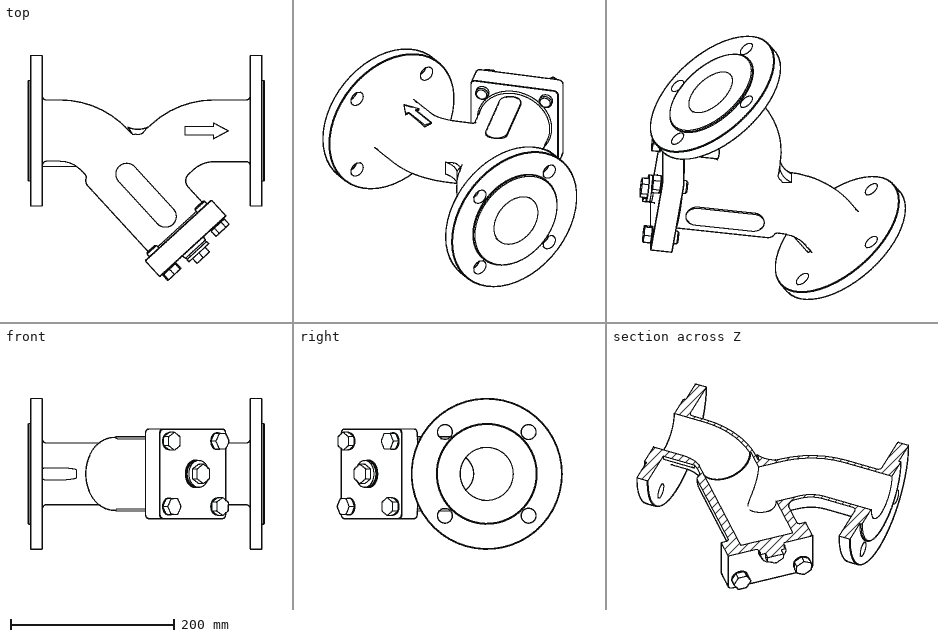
import cadquery as cq
import math


FACE_TO_FACE = 290.0
PIPE_DIAMETER = 76.0
BORE_DIAMETER = 65.0
BEND_RADIUS = 75.0
INLET_BEND_X = -105.5
OUTLET_BEND_X = 83.0

FLANGE_DIAMETER = 185.0
FLANGE_THICKNESS = 15.0
FLANGE_EDGE_CHAMFER = 1.0
RAISED_FACE_DIAMETER = 123.5
RAISED_FACE_HEIGHT = 3.0
RAISED_FACE_CHAMFER = 1.2
FLANGE_NECK_FILLET = 4.4
FLANGE_HOLE_DIAMETER = 18.0
FLANGE_HOLE_CIRCLE = 145.0
FLANGE_HOLE_COUNT = 4

HOUSING_ANGLE = 47.5
HOUSING_DIAMETER = 90.0
HOUSING_START = 40.5
HOUSING_START_FILLET = 9.5
HOUSING_NECK_FILLET = 4.4
BRANCH_FILLET = 11.0
CAVITY_START = 24.6
CAVITY_DIAMETER = 67.3

COVER_SIDE = 110.2
COVER_CORNER_RADIUS = 5.8
HOUSING_FLANGE_START = 165.3
COVER_START = 178.0
COVER_END = 192.0
COVER_EDGE_CHAMFER = 0.5
HOUSING_FLANGE_CHAMFER = 0.5
HOUSING_END_RING = 2.0

BOLT_OFFSET = 40.0
BOLT_DIAMETER = 16.0
BOLT_TIP_LENGTH = 5.8
BOLT_TIP_CHAMFER = 1.5
BOLT_COLLAR_DIAMETER = 21.0
BOLT_COLLAR_HEIGHT = 1.2
BOLT_HEAD_FLATS = 19.0
BOLT_HEAD_HEIGHT = 9.0
HEAD_CORNER_CHAMFER = 0.44

PLUG_BOSS_DIAMETER = 34.0
PLUG_BOSS_HEIGHT = 4.5
PLUG_BOSS_FILLET = 2.0
PLUG_GASKET_DIAMETER = 32.0
PLUG_GASKET_HEIGHT = 2.3
PLUG_COLLAR_DIAMETER = 33.0
PLUG_COLLAR_HEIGHT = 3.8
PLUG_HEAD_FLATS = 21.0
PLUG_HEAD_HEIGHT = 8.0

PLATE_START = 58.5
PLATE_END = 155.5
PLATE_WIDTH = 26.7
PLATE_LEVEL = 45.5

ARROW_TAIL_X = 47.3
ARROW_NECK_X = 82.5
ARROW_TIP_X = 100.5
ARROW_SHAFT_WIDTH = 10.2
ARROW_HEAD_WIDTH = 19.5
ARROW_LEVEL = 39.0

RIB_END_X = -81.8
RIB_BOTTOM_Y = -43.8
RIB_BASE_WIDTH = 15.7
RIB_CREST_WIDTH = 10.5
RIB_BASE_Y = -36.2
RIB_CREST_FILLET = 2.3

WEB_INLET_POINT = (-22.5, 4.5)
WEB_LOW_POINT = (-12.2, 2.0)
WEB_OUTLET_POINT = (2.0, 4.5)
WEB_ROOT_POINT = (-12.2, -11.5)
WEB_WIDTH = 17.5

angle = math.radians(HOUSING_ANGLE)
face_x = FACE_TO_FACE / 2
flange_back_x = face_x - RAISED_FACE_HEIGHT - FLANGE_THICKNESS
axis_start_x = INLET_BEND_X + BEND_RADIUS * math.tan(angle / 2)
axis_direction = cq.Vector(math.cos(angle), -math.sin(angle), 0)
across_direction = cq.Vector(math.sin(angle), math.cos(angle), 0)

NEAR_END = cq.selectors.DirectionMinMaxSelector(axis_direction, False)
FAR_END = cq.selectors.DirectionMinMaxSelector(axis_direction, True)
ALONG_AXIS = cq.selectors.ParallelDirSelector(axis_direction)


def axis_point(distance):
    return cq.Vector(axis_start_x, 0, 0) + axis_direction * distance


def housing_plane(distance):
    """Workplane square to the housing axis; its X runs across the housing and its Y is global Z."""
    return cq.Workplane(cq.Plane(axis_point(distance), across_direction, axis_direction))


def housing_cylinder(diameter, start, end):
    return housing_plane(start).circle(diameter / 2).extrude(end - start)


def elbow_path(start_x, bend_x, turn, tail):
    """Centreline: straight from start_x, an arc bending towards -Y, then a straight tail."""
    side = 1 if bend_x > start_x else -1

    def on_arc(a):
        return (bend_x + side * BEND_RADIUS * math.sin(a), BEND_RADIUS * (math.cos(a) - 1))

    end_x, end_y = on_arc(turn)
    tail_point = (end_x + side * tail * math.cos(turn), end_y - tail * math.sin(turn))
    return (
        cq.Workplane("XY")
        .moveTo(start_x, 0)
        .lineTo(bend_x, 0)
        .threePointArc(on_arc(turn / 2), (end_x, end_y))
        .lineTo(*tail_point)
    )


def elbow(start_x, diameter, bend_x, turn, tail):
    path = elbow_path(start_x, bend_x, turn, tail)
    return cq.Workplane("YZ", origin=(start_x, 0, 0)).circle(diameter / 2).sweep(path)


inlet_tail = HOUSING_START + HOUSING_START_FILLET - BEND_RADIUS * math.tan(angle / 2)
outlet_turn = math.pi / 2 - angle
outlet_seam = cq.Vector(
    OUTLET_BEND_X - BEND_RADIUS * math.sin(outlet_turn),
    BEND_RADIUS * (math.cos(outlet_turn) - 1),
    0,
)
outlet_tail = (outlet_seam - cq.Vector(axis_start_x, 0, 0)).dot(across_direction)


def pipe_run(diameter):
    inlet = elbow(-face_x, diameter, INLET_BEND_X, angle, inlet_tail)
    outlet = elbow(face_x, diameter, OUTLET_BEND_X, outlet_turn, outlet_tail)
    return inlet, outlet


def end_flange():
    """Flange at the -X end, with its sealing face, bolt holes and rounded neck."""
    outer_x = RAISED_FACE_HEIGHT - face_x
    plate = cq.Workplane("YZ", origin=(outer_x, 0, 0)).circle(FLANGE_DIAMETER / 2)
    plate = plate.extrude(FLANGE_THICKNESS).edges().chamfer(FLANGE_EDGE_CHAMFER)
    seal = cq.Workplane("YZ", origin=(-face_x, 0, 0)).circle(RAISED_FACE_DIAMETER / 2)
    seal = seal.extrude(RAISED_FACE_HEIGHT).faces("<X").edges().chamfer(RAISED_FACE_CHAMFER)
    neck_radius = PIPE_DIAMETER / 2
    neck = (
        cq.Workplane("XY", origin=(-flange_back_x, 0, 0))
        .lineTo(0, neck_radius + FLANGE_NECK_FILLET)
        .radiusArc((FLANGE_NECK_FILLET, neck_radius), -FLANGE_NECK_FILLET)
        .lineTo(FLANGE_NECK_FILLET, 0)
        .close()
        .revolve(360, (0, 0, 0), (1, 0, 0))
    )
    holes = (
        cq.Workplane("YZ", origin=(-face_x, 0, 0))
        .polarArray(FLANGE_HOLE_CIRCLE / 2, 180 / FLANGE_HOLE_COUNT, 360, FLANGE_HOLE_COUNT)
        .circle(FLANGE_HOLE_DIAMETER / 2)
        .extrude(RAISED_FACE_HEIGHT + FLANGE_THICKNESS)
    )
    return plate.union(seal).union(neck).cut(holes)


def body_shell():
    """Solid elbows and housing with their blended joints."""
    inlet, outlet = pipe_run(PIPE_DIAMETER)
    housing = housing_cylinder(HOUSING_DIAMETER, HOUSING_START, COVER_START)
    housing = housing.faces(NEAR_END).edges().fillet(HOUSING_START_FILLET)
    shell = inlet.union(housing)
    neck_seam = cq.selectors.NearestToPointSelector(axis_point(HOUSING_START).toTuple())
    shell = shell.edges(neck_seam).fillet(HOUSING_NECK_FILLET)
    shell = shell.union(outlet)
    branch_seam = shell.edges("%BSPLINE")
    return branch_seam.fillet(BRANCH_FILLET)


def crotch_web():
    """Web with a hollow upper edge, centred on the mid plane."""
    return (
        cq.Workplane("XY", origin=(0, 0, -WEB_WIDTH / 2))
        .moveTo(*WEB_INLET_POINT)
        .threePointArc(WEB_LOW_POINT, WEB_OUTLET_POINT)
        .lineTo(*WEB_ROOT_POINT)
        .close()
        .extrude(WEB_WIDTH)
    )


def square_plate(start, end):
    plate = housing_plane(start).rect(COVER_SIDE, COVER_SIDE).extrude(end - start)
    return plate.edges(ALONG_AXIS).fillet(COVER_CORNER_RADIUS)


def housing_flange():
    """Square flange with a small sloped ring where the housing runs into it."""
    flange = square_plate(HOUSING_FLANGE_START, COVER_START)
    flange = flange.faces(NEAR_END).edges().chamfer(HOUSING_FLANGE_CHAMFER)
    ring = (
        housing_plane(HOUSING_FLANGE_START)
        .circle(HOUSING_DIAMETER / 2 + HOUSING_END_RING)
        .workplane(offset=-HOUSING_END_RING)
        .circle(HOUSING_DIAMETER / 2)
        .loft()
    )
    return flange.union(ring)


def bolt_positions():
    return [(across, up) for across in (-BOLT_OFFSET, BOLT_OFFSET) for up in (-BOLT_OFFSET, BOLT_OFFSET)]


def bolt_tip(position):
    """Bolt end standing out behind the square flange."""
    tip = housing_plane(HOUSING_FLANGE_START - BOLT_TIP_LENGTH).center(*position)
    tip = tip.circle(BOLT_DIAMETER / 2).extrude(BOLT_TIP_LENGTH)
    return tip.faces(NEAR_END).edges().chamfer(BOLT_TIP_CHAMFER)


def hex_head(start, height, flats, turn, position=(0, 0)):
    """Hexagon whose outer corners are turned off at its free end."""
    corners = flats / math.cos(math.pi / 6)
    base = housing_plane(start).center(*position)
    hexagon = base.transformed(rotate=(0, 0, turn)).polygon(6, corners).extrude(height)
    turned = base.circle(corners / 2).extrude(height)
    turned = turned.faces(FAR_END).edges().chamfer(HEAD_CORNER_CHAMFER)
    return hexagon.intersect(turned)


def bolt_head(position):
    collar = housing_plane(COVER_END).center(*position).circle(BOLT_COLLAR_DIAMETER / 2)
    collar = collar.extrude(BOLT_COLLAR_HEIGHT)
    across, up = position
    turn = 0 if across * up > 0 else 90
    head_start = COVER_END + BOLT_COLLAR_HEIGHT
    return collar.union(hex_head(head_start, BOLT_HEAD_HEIGHT, BOLT_HEAD_FLATS, turn, position))


def drain_plug():
    boss_end = COVER_END + PLUG_BOSS_HEIGHT
    gasket_end = boss_end + PLUG_GASKET_HEIGHT
    collar_end = gasket_end + PLUG_COLLAR_HEIGHT
    plug = housing_cylinder(PLUG_GASKET_DIAMETER, boss_end, gasket_end)
    plug = plug.union(housing_cylinder(PLUG_COLLAR_DIAMETER, gasket_end, collar_end))
    return plug.union(hex_head(collar_end, PLUG_HEAD_HEIGHT, PLUG_HEAD_FLATS, 90))


def cover():
    """Square cover with the blended plug boss, the plug and the bolt heads."""
    plate = square_plate(COVER_START, COVER_END).faces(FAR_END).edges().chamfer(COVER_EDGE_CHAMFER)
    boss_end = COVER_END + PLUG_BOSS_HEIGHT
    plate = plate.union(housing_cylinder(PLUG_BOSS_DIAMETER, COVER_END, boss_end))
    boss_foot = cq.selectors.NearestToPointSelector(axis_point(COVER_END).toTuple())
    plate = plate.edges("%CIRCLE").edges(boss_foot).fillet(PLUG_BOSS_FILLET)
    plate = plate.union(drain_plug())
    for position in bolt_positions():
        plate = plate.union(bolt_head(position))
    return plate


def name_plates():
    """Stadium pads above and below the housing."""
    middle = axis_point((PLATE_START + PLATE_END) / 2)
    return (
        cq.Workplane("XY", origin=(middle.x, middle.y, -PLATE_LEVEL))
        .slot2D(PLATE_END - PLATE_START, PLATE_WIDTH, -HOUSING_ANGLE)
        .extrude(2 * PLATE_LEVEL)
    )


def flow_arrow():
    """Arrow raised slightly above the top of the outlet elbow."""
    return (
        cq.Workplane("XY")
        .moveTo(ARROW_TAIL_X, -ARROW_SHAFT_WIDTH / 2)
        .lineTo(ARROW_NECK_X, -ARROW_SHAFT_WIDTH / 2)
        .lineTo(ARROW_NECK_X, -ARROW_HEAD_WIDTH / 2)
        .lineTo(ARROW_TIP_X, 0)
        .lineTo(ARROW_NECK_X, ARROW_HEAD_WIDTH / 2)
        .lineTo(ARROW_NECK_X, ARROW_SHAFT_WIDTH / 2)
        .lineTo(ARROW_TAIL_X, ARROW_SHAFT_WIDTH / 2)
        .close()
        .extrude(ARROW_LEVEL)
    )


def inlet_rib():
    """Tapered rib along the -Y side of the inlet pipe."""
    half_base = RIB_BASE_WIDTH / 2
    half_crest = RIB_CREST_WIDTH / 2
    section = [
        (RIB_BASE_Y, -half_base),
        (RIB_BOTTOM_Y, -half_crest),
        (RIB_BOTTOM_Y, half_crest),
        (RIB_BASE_Y, half_base),
    ]
    rib = cq.Workplane("YZ", origin=(-flange_back_x, 0, 0)).polyline(section).close()
    rib = rib.extrude(RIB_END_X + flange_back_x)
    return rib.faces("<Y").edges("not <X").fillet(RIB_CREST_FILLET)


result = body_shell()
inlet_flange = end_flange()
solid_features = [
    inlet_flange,
    inlet_flange.mirror("YZ"),
    crotch_web(),
    housing_flange(),
    name_plates(),
    flow_arrow(),
    inlet_rib(),
]
for feature in solid_features:
    result = result.union(feature)

for bore in pipe_run(BORE_DIAMETER):
    result = result.cut(bore)
result = result.cut(housing_cylinder(CAVITY_DIAMETER, CAVITY_START, COVER_START))

for position in bolt_positions():
    result = result.union(bolt_tip(position))

result = result.union(cover(), clean=False)